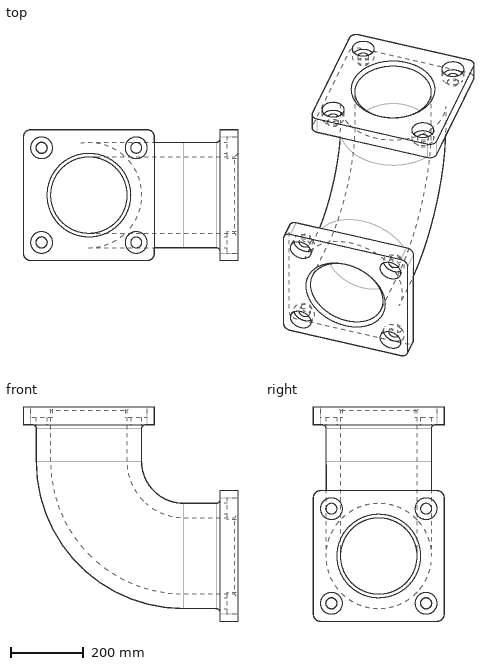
import cadquery as cq
import math

pipe_diameter = 290.0
bore_diameter = 210.0
bend_radius = 260.0
straight_length = 150.0

flange_size = 360.0
flange_thickness = 50.0
flange_corner_radius = 20.0
neck_fillet = 10.0
bore_chamfer = 10.0
chamfer_angle = 45.0

bolt_spacing = 260.0
bolt_diameter = 30.0
counterbore_diameter = 60.0
counterbore_depth = 30.0

face_distance = bend_radius + straight_length

top_face = cq.Plane(origin=(0, 0, face_distance), xDir=(1, 0, 0), normal=(0, 0, 1))
side_face = cq.Plane(origin=(face_distance, 0, 0), xDir=(0, 1, 0), normal=(1, 0, 0))
end_faces = (top_face, side_face)


def elbow(diameter):
    """Solid round elbow reaching from one flange face to the other."""
    body = (
        cq.Workplane("XY", origin=(0, 0, bend_radius))
        .circle(diameter / 2)
        .revolve(90, (bend_radius, 0), (bend_radius, -1))
    )
    for face in end_faces:
        body = body.union(cq.Workplane(face).circle(diameter / 2).extrude(-straight_length))
    return body


def flange(face):
    """Square plate with rounded corners behind the given face."""
    return (
        cq.Workplane(face)
        .rect(flange_size, flange_size)
        .extrude(-flange_thickness)
        .edges(cq.selectors.ParallelDirSelector(face.zDir))
        .fillet(flange_corner_radius)
    )


def neck(face):
    """Ring with a concave outer surface that blends the pipe into the back of the flange."""
    pipe_radius = pipe_diameter / 2
    outer_radius = pipe_radius + neck_fillet
    flange_back = -flange_thickness
    neck_end = flange_back - neck_fillet
    arc_middle = neck_fillet * (1 - math.cos(math.radians(45)))
    profile_plane = cq.Plane(origin=face.origin, xDir=face.xDir, normal=face.xDir.cross(face.zDir))
    return (
        cq.Workplane(profile_plane)
        .moveTo(bore_diameter / 2, flange_back)
        .lineTo(outer_radius, flange_back)
        .threePointArc((pipe_radius + arc_middle, flange_back - arc_middle), (pipe_radius, neck_end))
        .lineTo(bore_diameter / 2, neck_end)
        .close()
        .revolve(360, (0, 0), (0, 1))
    )


def bore_mouth(face):
    """Cone that chamfers the bore at the flange face."""
    mouth_radius = bore_diameter / 2 + bore_chamfer
    return cq.Workplane(face).circle(mouth_radius).extrude(-bore_chamfer, taper=chamfer_angle)


def bolt_holes(face):
    """Four counterbored holes, sunk from the flange face."""
    pattern = cq.Workplane(face).rect(bolt_spacing, bolt_spacing, forConstruction=True).vertices()
    holes = pattern.circle(bolt_diameter / 2).extrude(-flange_thickness)
    counterbores = pattern.circle(counterbore_diameter / 2).extrude(-counterbore_depth)
    return holes.union(counterbores)


result = elbow(pipe_diameter)
for end_face in end_faces:
    result = result.union(flange(end_face)).union(neck(end_face))

result = result.cut(elbow(bore_diameter))
for end_face in end_faces:
    result = result.cut(bore_mouth(end_face)).cut(bolt_holes(end_face))